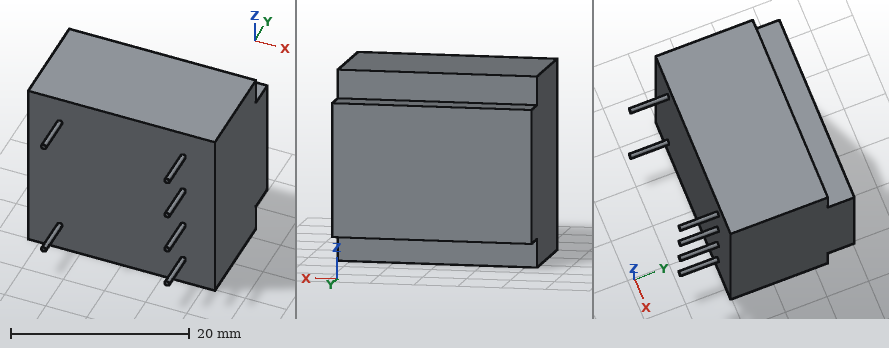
import cadquery as cq

WIDTH = 22.7
HEIGHT = 21.7
BODY_DEPTH = 14.9
STEP_DEPTH = 3.2
STEP_HEIGHT = 15.2

WALL_X = 0.7
WALL_Z = 0.6
POTTING_DEPTH = 1.0

PIN_DIAMETER = 0.6
PIN_LENGTH = 4.6
PIN_PITCH = 5.0
PINS_PER_ROW = 4
PIN_ROW_SPACING = 15.0
PIN_EMBED = POTTING_DEPTH


def make_housing():
    """Full-height front block with a lower block stepped in at the back."""
    front_block = cq.Workplane("XY").box(
        WIDTH, BODY_DEPTH - STEP_DEPTH, HEIGHT, centered=(True, False, True)
    )
    full_depth_block = cq.Workplane("XY").box(
        WIDTH, BODY_DEPTH, STEP_HEIGHT, centered=(True, False, True)
    )
    return front_block.union(full_depth_block)


def make_potting():
    """Rectangular fill inside the housing wall, flush with the pin face."""
    return cq.Workplane("XY").box(
        WIDTH - 2 * WALL_X, POTTING_DEPTH, HEIGHT - 2 * WALL_Z, centered=(True, False, True)
    )


def make_pins():
    """Two pins on the -X row (outer places only) and four on the +X row."""
    row_places = [(i - (PINS_PER_ROW - 1) / 2) * PIN_PITCH for i in range(PINS_PER_ROW)]
    left_x = -PIN_ROW_SPACING / 2
    right_x = PIN_ROW_SPACING / 2
    places = [(left_x, row_places[0]), (left_x, row_places[-1])]
    places += [(right_x, z) for z in row_places]
    return (
        cq.Workplane("XZ", origin=(0, PIN_EMBED, 0))
        .pushPoints(places)
        .circle(PIN_DIAMETER / 2)
        .extrude(PIN_LENGTH + PIN_EMBED)
    )


potting = make_potting()
housing = make_housing().cut(potting)

result = housing.union(potting, clean=False).union(make_pins(), clean=False)